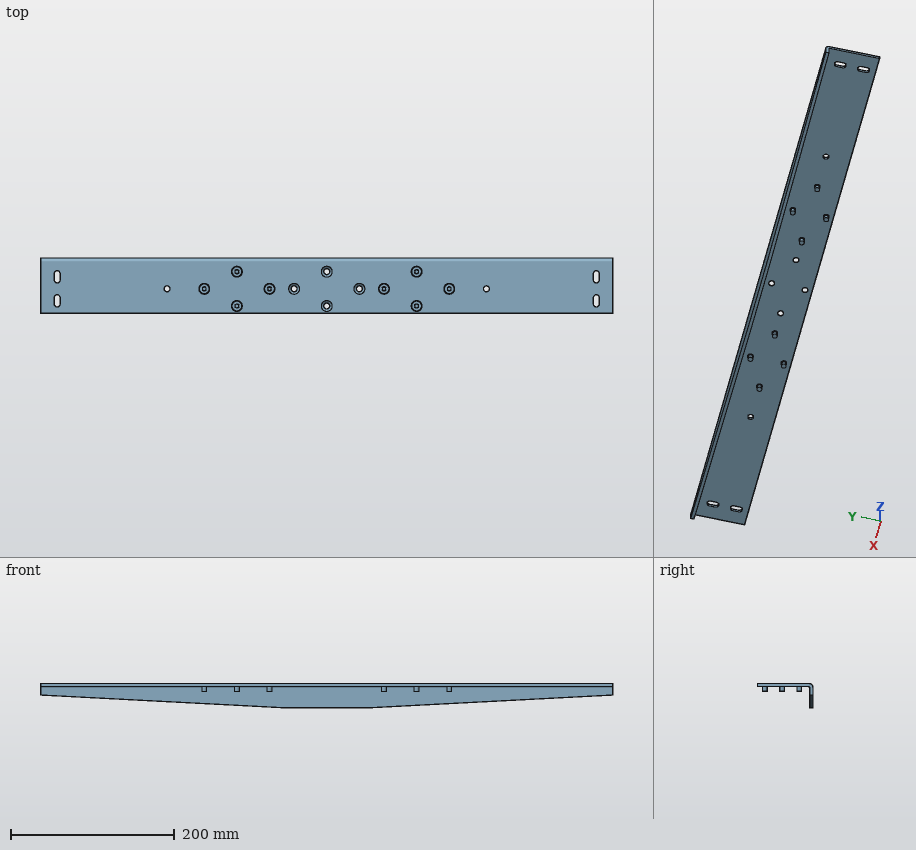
import math

import cadquery as cq

LENGTH = 700.0
WIDTH = 68.0
HEIGHT = 30.0
THICKNESS = 4.0
OUTER_BEND_RADIUS = 5.0
INNER_BEND_RADIUS = 2.0
ROW_TO_FREE_EDGE = 30.0

FLANGE_TAPER_ANGLE = 3.0
FLANGE_FLAT_LENGTH = 100.0

DIAMOND_SPACING = 110.0
DIAMOND_HALF_LENGTH = 40.0
DIAMOND_HALF_WIDTH = 21.0
COUNTERSINK_DIAMETER = 13.0
SCREW_HOLE_DIAMETER = 7.0

SMALL_HOLE_DIAMETER = 7.0
SMALL_HOLE_X = 195.0
SLOT_X = 330.0
SLOT_Y = 15.0
SLOT_LENGTH = 15.0
SLOT_WIDTH = 7.0
SLOT_ANGLE = 90

HEAD_DIAMETER = 12.0
SHANK_DIAMETER = 6.0
SCREW_LENGTH = 9.0
SOCKET_SIZE = 4.0
SOCKET_DEPTH = 3.0
SOCKET_SIDES = 6

END_X = LENGTH / 2
FREE_EDGE_Y = -ROW_TO_FREE_EDGE
FLANGE_OUTER_Y = FREE_EDGE_Y + WIDTH
FLANGE_INNER_Y = FLANGE_OUTER_Y - THICKNESS
FLANGE_TAPER_RUN = (LENGTH - FLANGE_FLAT_LENGTH) / 2
FLANGE_END_HEIGHT = HEIGHT - FLANGE_TAPER_RUN * math.tan(math.radians(FLANGE_TAPER_ANGLE))
HEAD_SINK = (COUNTERSINK_DIAMETER - HEAD_DIAMETER) / 2


def diamond_points(center_x):
    """Four corners of one diamond of screw holes."""
    return [
        (center_x - DIAMOND_HALF_LENGTH, 0),
        (center_x + DIAMOND_HALF_LENGTH, 0),
        (center_x, -DIAMOND_HALF_WIDTH),
        (center_x, DIAMOND_HALF_WIDTH),
    ]


SCREW_POINTS = diamond_points(-DIAMOND_SPACING) + diamond_points(DIAMOND_SPACING)
OPEN_POINTS = diamond_points(0)


def make_bent_sheet():
    """L-shaped sheet of full flange height, rounded inside and outside the bend."""
    sheet = (
        cq.Workplane("YZ", origin=(-END_X, 0, 0))
        .moveTo(FREE_EDGE_Y, 0)
        .lineTo(FLANGE_OUTER_Y, 0)
        .lineTo(FLANGE_OUTER_Y, -HEIGHT)
        .lineTo(FLANGE_INNER_Y, -HEIGHT)
        .lineTo(FLANGE_INNER_Y, -THICKNESS)
        .lineTo(FREE_EDGE_Y, -THICKNESS)
        .close()
        .extrude(LENGTH)
    )
    outer_corner = cq.selectors.NearestToPointSelector((0, FLANGE_OUTER_Y, 0))
    inner_corner = cq.selectors.NearestToPointSelector((0, FLANGE_INNER_Y, -THICKNESS))
    sheet = sheet.edges(outer_corner).fillet(OUTER_BEND_RADIUS)
    return sheet.edges(inner_corner).fillet(INNER_BEND_RADIUS)


def make_flange_envelope():
    """Tapered outline of the flange, extruded over the whole width."""
    return (
        cq.Workplane("XZ", origin=(0, FREE_EDGE_Y, 0))
        .moveTo(-END_X, 0)
        .lineTo(END_X, 0)
        .lineTo(END_X, -FLANGE_END_HEIGHT)
        .lineTo(FLANGE_FLAT_LENGTH / 2, -HEIGHT)
        .lineTo(-FLANGE_FLAT_LENGTH / 2, -HEIGHT)
        .lineTo(-END_X, -FLANGE_END_HEIGHT)
        .close()
        .extrude(-WIDTH)
    )


def make_countersunk_shape(head_diameter, shank_diameter, depth):
    """90 degree cone narrowing to a cylinder, with the wide face at Z = 0."""
    head_radius = head_diameter / 2
    shank_radius = shank_diameter / 2
    cone_height = head_radius - shank_radius
    return (
        cq.Workplane("XZ")
        .lineTo(head_radius, 0)
        .lineTo(shank_radius, -cone_height)
        .lineTo(shank_radius, -depth)
        .lineTo(0, -depth)
        .close()
        .revolve(360, (0, 0, 0), (0, 1, 0))
    )


def make_small_holes():
    return (
        cq.Workplane("XY")
        .pushPoints([(-SMALL_HOLE_X, 0), (SMALL_HOLE_X, 0)])
        .circle(SMALL_HOLE_DIAMETER / 2)
        .extrude(-THICKNESS)
    )


def make_slots():
    return (
        cq.Workplane("XY")
        .rect(2 * SLOT_X, 2 * SLOT_Y, forConstruction=True)
        .vertices()
        .slot2D(SLOT_LENGTH, SLOT_WIDTH, SLOT_ANGLE)
        .extrude(-THICKNESS)
    )


def make_plate():
    plate = make_bent_sheet().intersect(make_flange_envelope())
    screw_hole = make_countersunk_shape(COUNTERSINK_DIAMETER, SCREW_HOLE_DIAMETER, THICKNESS)
    for x, y in SCREW_POINTS + OPEN_POINTS:
        plate = plate.cut(screw_hole.translate((x, y, 0)))
    return plate.cut(make_small_holes()).cut(make_slots())


def make_screw(x, y):
    """Screw seated in the countersink at (x, y)."""
    blank = make_countersunk_shape(HEAD_DIAMETER, SHANK_DIAMETER, SCREW_LENGTH)
    socket = (
        cq.Workplane("XY")
        .polygon(SOCKET_SIDES, SOCKET_SIZE, circumscribed=True)
        .extrude(-SOCKET_DEPTH)
    )
    return blank.cut(socket).translate((x, y, -HEAD_SINK))


plate = make_plate()
screws = [make_screw(x, y) for x, y in SCREW_POINTS]

result = cq.Compound.makeCompound([plate.solids().val(), *[screw.solids().val() for screw in screws]])